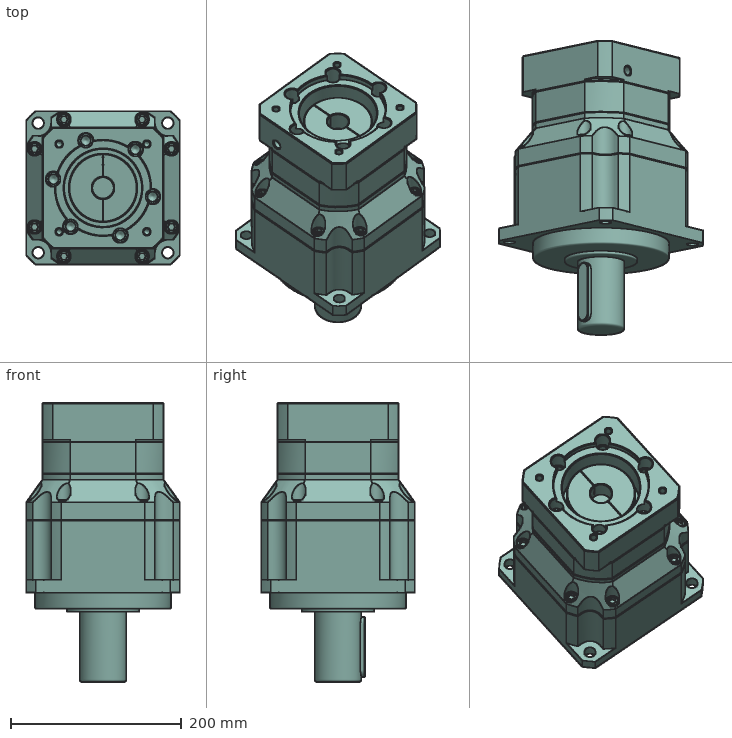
import cadquery as cq
import math

TOTAL_HEIGHT = 327.0
DISC_BOTTOM = 82.0
PILOT_BOTTOM = 85.7
FOOT_BOTTOM = 104.5
FOOT_TOP = 119.7
CAP_SEAM = 189.0
CONE_BOTTOM = 210.3
CONE_TOP = 236.7
NECK_SEAM = 243.3
ADAPTER_SEAM = 280.5
FLANGE_BOTTOM = 283.5

BODY_HALF = 90.0
FOOT_CORNER_RADIUS = 119.7
BODY_CORNER_RADIUS = 102.5
NECK_HALF = 71.0
NECK_CORNER_RADIUS = 80.8
FLANGE_CORNER_RADIUS = 92.2

SEAM_WIDTH = 1.0
SEAM_DEPTH = 0.5
CUT_MARGIN = 3.3
EDGE_CHAMFER = 1.0

BOLT_OFFSET = 76.0
BOLT_HOLE_RADIUS = 6.5
FLUTE_RADIUS = 15.0

PILOT_RADIUS = 79.8
PILOT_FILLET = 2.0
DISC_RADIUS = 42.5
DISC_FILLET = 1.3
SHAFT_RADIUS = 27.5
SHAFT_FILLET = 3.0
KEY_WIDTH = 16.0
KEY_BOTTOM = 6.0
KEY_LENGTH = 70.3
KEY_REACH = 31.7
KEY_HEIGHT = 9.8

SCREW_SPACING = 45.8
SCREW_DISTANCE = 80.0
SCREW_POCKET_RADIUS = 8.2
SCREW_POCKET_FLOOR = 210.0
SCREW_HEAD_RADIUS = 7.0
SCREW_HEAD_HEIGHT = 3.3
SCREW_HEAD_CHAMFER = 0.5
SOCKET_WIDTH = 8.8
SOCKET_DEPTH = 5.0

RECESS_RADIUS = 55.5
RECESS_DEPTH = 7.5
BORE_RADIUS = 45.5
MOUNT_COUNT = 6
MOUNT_CIRCLE_RADIUS = 59.0
MOUNT_FIRST_ANGLE = 50.0
MOUNT_POCKET_RADIUS = 8.2
MOUNT_POCKET_DEPTH = 23.0
MOUNT_HOLE_RADIUS = 6.0
MOUNT_HOLE_DEPTH = 32.7
TAP_OFFSET = 51.5
TAP_RADIUS = 3.5
TAP_DEPTH = 19.5
DRILL_TIP_ANGLE = 118.0

COLLAR_RADIUS = 40.2
COLLAR_TOP = 305.5
COLLAR_BORE_RADIUS = 12.5
SLIT_WIDTH = 1.0
SLIT_BOTTOM = 287.8
CLAMP_SCREW_Y = 31.5
CLAMP_SCREW_Z = 295.5
ACCESS_HOLE_RADIUS = 5.2
CLAMP_HOLE_RADIUS = 4.3


def cylinder(radius, bottom, top):
    """Upright cylinder on the axis."""
    return cq.Workplane("XY").workplane(offset=bottom).circle(radius).extrude(top - bottom)


def rounded_square(half, corner_radius, bottom, top):
    """Square prism with its corners turned down to a circle on the axis."""
    height = top - bottom
    square = cq.Workplane("XY").workplane(offset=bottom).rect(2 * half, 2 * half).extrude(height)
    return square.intersect(cylinder(corner_radius, bottom, top))


def rounded_square_wire(half, corner_radius, height):
    """Outline of the rounded square as four straight sides and four arcs."""
    side = math.sqrt(corner_radius**2 - half**2)
    diagonal = corner_radius / math.sqrt(2)
    return (
        cq.Workplane("XY")
        .workplane(offset=height)
        .moveTo(-side, -half)
        .lineTo(side, -half)
        .threePointArc((diagonal, -diagonal), (half, -side))
        .lineTo(half, side)
        .threePointArc((diagonal, diagonal), (side, half))
        .lineTo(-side, half)
        .threePointArc((-diagonal, diagonal), (-half, side))
        .lineTo(-half, -side)
        .threePointArc((-diagonal, -diagonal), (-side, -half))
        .close()
        .wire()
        .val()
    )


def corner_flutes(bottom, top, growth=0.0):
    """Cutters that clear the four corners above the foot, each rounded around its bolt."""
    radius = FLUTE_RADIUS + growth
    inner = BOLT_OFFSET - radius
    size = BODY_HALF
    flute = (
        cq.Workplane("XY")
        .workplane(offset=bottom)
        .center(inner + size / 2, inner + size / 2)
        .rect(size, size)
        .extrude(top - bottom)
        .edges("|Z and <X and <Y")
        .fillet(radius)
    )
    flutes = flute
    for quarter in range(1, 4):
        flutes = flutes.union(flute.rotate((0, 0, 0), (0, 0, 1), 90 * quarter))
    return flutes


def drilled_holes(points, radius, top, depth):
    """Blind holes with a conical drill tip; the depth is that of the full-width part."""
    tip = radius / math.tan(math.radians(DRILL_TIP_ANGLE / 2))
    hole = (
        cq.Workplane("XZ")
        .moveTo(0, top)
        .lineTo(radius, top)
        .lineTo(radius, top - depth)
        .lineTo(0, top - depth - tip)
        .close()
        .revolve(360, (0, 0), (0, 1))
    )
    return [hole.translate((x, y, 0)) for x, y in points]


def rim_chamfers(points, radius, top):
    """Cone cutters that break the rims of round holes opening upward."""
    cone = cq.Solid.makeCone(radius, radius + EDGE_CHAMFER, EDGE_CHAMFER)
    return [cq.Workplane(cone).translate((x, y, top - EDGE_CHAMFER)) for x, y in points]


def square_points(offset):
    """The four corners of a centred square."""
    return [(x, y) for x in (-offset, offset) for y in (-offset, offset)]


def cut_all(body, cutters):
    for cutter in cutters:
        body = body.cut(cutter)
    return body


def seam_groove(half, corner_radius, bottom):
    """Ring cutter for a shallow groove around a rounded square."""
    top = bottom + SEAM_WIDTH
    core = rounded_square(half - SEAM_DEPTH, corner_radius - SEAM_DEPTH, bottom, top)
    return rounded_square(half + CUT_MARGIN, corner_radius + CUT_MARGIN, bottom, top).cut(core)


def housing():
    """Square foot, fluted body, conical cap and neck."""
    body = rounded_square(BODY_HALF, BODY_CORNER_RADIUS, FOOT_TOP, CONE_BOTTOM)
    cone = cq.Solid.makeLoft(
        [
            rounded_square_wire(BODY_HALF, BODY_CORNER_RADIUS, CONE_BOTTOM),
            rounded_square_wire(NECK_HALF, NECK_CORNER_RADIUS, CONE_TOP),
        ],
        True,
    )
    seam_top = CAP_SEAM + SEAM_WIDTH
    body = body.union(cq.Workplane(cone)).cut(corner_flutes(FOOT_TOP, CONE_TOP))
    body = body.cut(seam_groove(BODY_HALF, BODY_CORNER_RADIUS, CAP_SEAM))
    body = body.cut(corner_flutes(CAP_SEAM, seam_top, SEAM_DEPTH))

    neck = rounded_square(NECK_HALF, NECK_CORNER_RADIUS, CONE_TOP, ADAPTER_SEAM)
    neck = neck.cut(seam_groove(NECK_HALF, NECK_CORNER_RADIUS, NECK_SEAM))
    land = rounded_square(
        NECK_HALF - SEAM_DEPTH, NECK_CORNER_RADIUS - SEAM_DEPTH, ADAPTER_SEAM, ADAPTER_SEAM + SEAM_WIDTH
    )
    foot = rounded_square(BODY_HALF, FOOT_CORNER_RADIUS, FOOT_BOTTOM, FOOT_TOP)
    bolt_holes = (
        cq.Workplane("XY")
        .workplane(offset=FOOT_BOTTOM)
        .pushPoints(square_points(BOLT_OFFSET))
        .circle(BOLT_HOLE_RADIUS)
        .extrude(FOOT_TOP - FOOT_BOTTOM)
    )
    return body.union(neck).union(land).union(foot).cut(bolt_holes)


def cap_screw_points():
    """Two screws on each side of the cap."""
    points = []
    for along in (-SCREW_SPACING, SCREW_SPACING):
        for outward in (-SCREW_DISTANCE, SCREW_DISTANCE):
            points += [(along, outward), (outward, along)]
    return points


def cap_screw_pockets():
    """Cutters that leave a socket screw head standing on the floor of each pocket."""
    head_top = SCREW_POCKET_FLOOR + SCREW_HEAD_HEIGHT
    pocket = cylinder(SCREW_POCKET_RADIUS, SCREW_POCKET_FLOOR, CONE_TOP)
    head = cylinder(SCREW_HEAD_RADIUS, SCREW_POCKET_FLOOR, head_top)
    pocket = pocket.cut(head.faces(">Z").chamfer(SCREW_HEAD_CHAMFER))
    socket = (
        cq.Workplane("XY")
        .workplane(offset=head_top - SOCKET_DEPTH)
        .polygon(6, SOCKET_WIDTH)
        .extrude(SOCKET_DEPTH)
    )
    pocket = pocket.union(socket)
    return [pocket.translate((x, y, 0)) for x, y in cap_screw_points()]


def output_end():
    """Pilot, seal disc and keyed shaft below the foot."""
    pilot = cylinder(PILOT_RADIUS, PILOT_BOTTOM, FOOT_BOTTOM).faces("<Z").edges().fillet(PILOT_FILLET)
    disc = cylinder(DISC_RADIUS, DISC_BOTTOM, PILOT_BOTTOM).faces("<Z").edges().fillet(DISC_FILLET)
    shaft = cylinder(SHAFT_RADIUS, 0, DISC_BOTTOM).faces("<Z").edges().fillet(SHAFT_FILLET)
    key = (
        cq.Workplane("XZ", origin=(0, KEY_REACH, KEY_BOTTOM + KEY_LENGTH / 2))
        .slot2D(KEY_LENGTH, KEY_WIDTH, 90)
        .extrude(KEY_HEIGHT)
        .faces(">Y")
        .chamfer(EDGE_CHAMFER)
    )
    return pilot.union(disc).union(shaft).union(key)


def make_gearbox():
    return cut_all(housing(), cap_screw_pockets()).union(output_end())


def mount_points():
    step = 360.0 / MOUNT_COUNT
    angles = [math.radians(MOUNT_FIRST_ANGLE + step * i) for i in range(MOUNT_COUNT)]
    return [(MOUNT_CIRCLE_RADIUS * math.cos(a), MOUNT_CIRCLE_RADIUS * math.sin(a)) for a in angles]


def access_hole():
    """Hole through the -X wall that reaches the clamp screw."""
    start = (-NECK_HALF, CLAMP_SCREW_Y, CLAMP_SCREW_Z)
    inward = cq.Vector(1, 0, 0)
    hole = cq.Solid.makeCylinder(ACCESS_HOLE_RADIUS, NECK_HALF, cq.Vector(start), inward)
    rim = cq.Solid.makeCone(
        ACCESS_HOLE_RADIUS + EDGE_CHAMFER, ACCESS_HOLE_RADIUS, EDGE_CHAMFER, cq.Vector(start), inward
    )
    return [cq.Workplane(hole), cq.Workplane(rim)]


def make_adapter():
    base_bottom = ADAPTER_SEAM + SEAM_WIDTH
    recess_floor = TOTAL_HEIGHT - RECESS_DEPTH
    base = rounded_square(NECK_HALF, NECK_CORNER_RADIUS, base_bottom, FLANGE_BOTTOM)
    flange = rounded_square(NECK_HALF, FLANGE_CORNER_RADIUS, FLANGE_BOTTOM, TOTAL_HEIGHT)
    adapter = base.union(flange.faces(">Z").chamfer(EDGE_CHAMFER))

    on_axis = [(0, 0)]
    adapter = adapter.cut(cylinder(RECESS_RADIUS, recess_floor, TOTAL_HEIGHT))
    adapter = adapter.cut(cylinder(BORE_RADIUS, base_bottom, TOTAL_HEIGHT))
    adapter = cut_all(adapter, rim_chamfers(on_axis, RECESS_RADIUS, TOTAL_HEIGHT))
    adapter = cut_all(adapter, rim_chamfers(on_axis, BORE_RADIUS, recess_floor))

    mount_floor = TOTAL_HEIGHT - MOUNT_POCKET_DEPTH
    pocket = cylinder(MOUNT_POCKET_RADIUS, mount_floor, TOTAL_HEIGHT)
    pockets = [pocket.translate((x, y, 0)) for x, y in mount_points()]
    adapter = cut_all(adapter, pockets)
    adapter = cut_all(adapter, rim_chamfers(mount_points(), MOUNT_POCKET_RADIUS, TOTAL_HEIGHT))
    adapter = cut_all(
        adapter, drilled_holes(mount_points(), MOUNT_HOLE_RADIUS, TOTAL_HEIGHT, MOUNT_HOLE_DEPTH)
    )

    taps = square_points(TAP_OFFSET)
    adapter = cut_all(adapter, drilled_holes(taps, TAP_RADIUS, TOTAL_HEIGHT, TAP_DEPTH))
    adapter = cut_all(adapter, rim_chamfers(taps, TAP_RADIUS, TOTAL_HEIGHT))
    return cut_all(adapter, access_hole())


def make_collar():
    bottom = ADAPTER_SEAM + SEAM_WIDTH
    collar = cylinder(COLLAR_RADIUS, bottom, COLLAR_TOP).faces(">Z").chamfer(EDGE_CHAMFER)
    collar = collar.cut(cylinder(COLLAR_BORE_RADIUS, bottom, COLLAR_TOP))
    collar = cut_all(collar, rim_chamfers([(0, 0)], COLLAR_BORE_RADIUS, COLLAR_TOP))
    slit = cq.Workplane("XY").workplane(offset=SLIT_BOTTOM)
    slit = slit.rect(SLIT_WIDTH, 2 * COLLAR_RADIUS).extrude(COLLAR_TOP - SLIT_BOTTOM)
    start = cq.Vector(-COLLAR_RADIUS, CLAMP_SCREW_Y, CLAMP_SCREW_Z)
    clamp_hole = cq.Solid.makeCylinder(CLAMP_HOLE_RADIUS, 2 * COLLAR_RADIUS, start, cq.Vector(1, 0, 0))
    return collar.cut(slit).cut(cq.Workplane(clamp_hole))


gearbox = make_gearbox()
adapter = make_adapter()
collar = make_collar()

result = cq.Compound.makeCompound([gearbox.val(), adapter.val(), collar.val()])